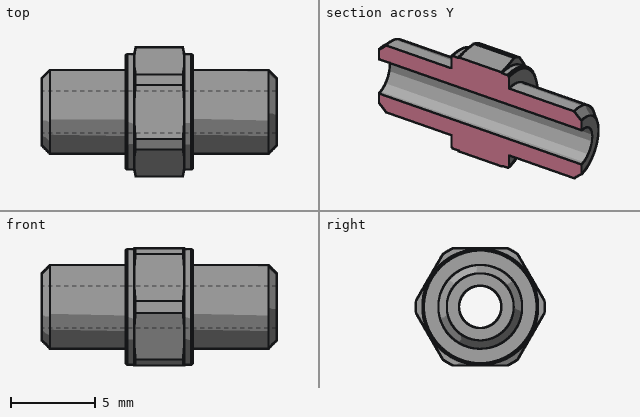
import cadquery as cq
import math

length = 14.0
tube_diameter = 5.0
bore_diameter = 2.5
tube_chamfer = 0.5

collar_length = 4.0
collar_diameter = 6.9
collar_chamfer = 0.1

hex_length = 3.0
hex_across_flats = 7.0
hex_corner_diameter = 7.7
hex_chamfer_depth = (hex_corner_diameter - collar_diameter) / 2
hex_chamfer_length = 0.1


def cylinder(diameter, span):
    """Solid cylinder along X, centred on the origin."""
    return cq.Workplane("YZ").circle(diameter / 2).extrude(span / 2, both=True)


def turned_blank():
    """Cylinder with conical ends that trims the corners of the hexagon."""
    radius = hex_corner_diameter / 2
    half_length = hex_length / 2
    return (
        cq.Workplane("XY")
        .moveTo(-half_length, 0)
        .lineTo(-half_length, radius - hex_chamfer_depth)
        .lineTo(-half_length + hex_chamfer_length, radius)
        .lineTo(half_length - hex_chamfer_length, radius)
        .lineTo(half_length, radius - hex_chamfer_depth)
        .lineTo(half_length, 0)
        .close()
        .revolve(360, (0, 0, 0), (1, 0, 0))
    )


def hexagon():
    """Hexagon with flats facing +Z and -Z and corners on the Y axis."""
    across_corners = hex_across_flats / math.cos(math.pi / 6)
    prism = cq.Workplane("YZ").polygon(6, across_corners).extrude(hex_length / 2, both=True)
    return prism.intersect(turned_blank())


tube = cylinder(tube_diameter, length).faces("<X or >X").chamfer(tube_chamfer)
collar = cylinder(collar_diameter, collar_length).faces("<X or >X").chamfer(collar_chamfer)
bore = cylinder(bore_diameter, length)

result = tube.union(collar).union(hexagon()).cut(bore)